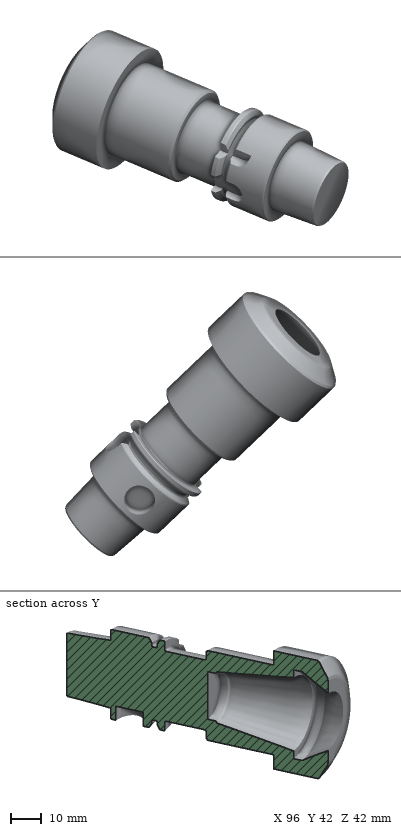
import cadquery as cq
import math

total_length = 96.0
nut_radius = 42.0 / 2
nut_length = 20.1
nose_flat_radius = 14.5
nose_edge_radius = 15.6
nose_edge_depth = 0.2
nose_cone_end = 3.2
nose_cone_radius = 20.4
nut_land_start = 3.8

body_radius = 32.0 / 2
body_end = 44.9
body_chamfer = (32.0 - 30.5) / 2

neck_radius = 25.0 / 2
neck_fillet = 0.5

flange_start = 59.9
flange_edge = 0.2
collar_end = 79.9
collar_chamfer = 0.4

taper_start_radius = 12.1
taper_ratio = 0.05
taper_end_chamfer = 0.6

groove_start = 62.8
groove_end = 64.7
groove_floor_radius = 13.1
groove_wall_radius = 14.4
groove_floor_chamfer = 0.3
flank_run = (body_radius - groove_wall_radius) * math.tan(math.radians(30))
flank_edge = 0.4

mouth_radius = 10.1
chamber_radius = 15.6
nut_cone_length = (chamber_radius - mouth_radius) / math.tan(math.radians(30))
seat_start = 12.7
seat_radius = 13.0
seat_end_radius = 18.0 / 2
seat_length = (seat_radius - seat_end_radius) / math.tan(math.radians(8))
bore_radius = 8.4
bore_depth = 44.2

key_width = 7.2
key_floor = 12.9
key_end = 72.2
wide_key_width = 9.8
notch_floor = 9.4
notch_end = 71.6
chip_hole_diameter = 10.0
chip_hole_x = 72.9
chip_hole_floor = 11.0


def revolve_about_x(outline):
    """Turn a closed (x, radius) outline into a solid of revolution."""
    return outline.close().revolve(360, (0, 0, 0), (1, 0, 0))


def turned_outside():
    neck_start_root = neck_radius + neck_fillet
    arc_low = neck_fillet * (1 - math.sqrt(0.5))
    taper_tip_x = total_length - taper_end_chamfer
    taper_tip_radius = taper_start_radius - taper_ratio * (taper_tip_x - collar_end)
    outline = (
        cq.Workplane("XY")
        .moveTo(0, 0)
        .lineTo(0, nose_flat_radius)
        .lineTo(nose_edge_depth, nose_edge_radius)
        .lineTo(nose_cone_end, nose_cone_radius)
        .lineTo(nut_land_start, nut_radius)
        .lineTo(nut_length, nut_radius)
        .lineTo(nut_length, body_radius)
        .lineTo(body_end - body_chamfer, body_radius)
        .lineTo(body_end, body_radius - body_chamfer)
        .lineTo(body_end, neck_start_root)
        .threePointArc(
            (body_end + arc_low, neck_radius + arc_low),
            (body_end + neck_fillet, neck_radius),
        )
        .lineTo(flange_start - neck_fillet, neck_radius)
        .threePointArc(
            (flange_start - arc_low, neck_radius + arc_low),
            (flange_start, neck_start_root),
        )
        .lineTo(flange_start, body_radius - flange_edge)
        .lineTo(flange_start + flange_edge, body_radius)
        .lineTo(collar_end - collar_chamfer, body_radius)
        .lineTo(collar_end, body_radius - collar_chamfer)
        .lineTo(collar_end, taper_start_radius)
        .lineTo(taper_tip_x, taper_tip_radius)
        .lineTo(total_length, taper_tip_radius - taper_end_chamfer / 2)
        .lineTo(total_length, 0)
    )
    return revolve_about_x(outline)


def gripper_groove():
    flank_left = groove_start - flank_run
    flank_right = groove_end + flank_run
    shoulder_radius = body_radius - flank_edge / 2
    chamfer_radius = groove_floor_radius + groove_floor_chamfer
    outline = (
        cq.Workplane("XY")
        .moveTo(flank_left - flank_edge, body_radius)
        .lineTo(flank_left, shoulder_radius)
        .lineTo(groove_start, groove_wall_radius)
        .lineTo(groove_start, chamfer_radius)
        .lineTo(groove_start + groove_floor_chamfer, groove_floor_radius)
        .lineTo(groove_end - groove_floor_chamfer, groove_floor_radius)
        .lineTo(groove_end, chamfer_radius)
        .lineTo(groove_end, groove_wall_radius)
        .lineTo(flank_right, shoulder_radius)
        .lineTo(flank_right + flank_edge, body_radius)
    )
    return revolve_about_x(outline)


def collet_cavity():
    seat_end = seat_start + seat_length
    outline = (
        cq.Workplane("XY")
        .moveTo(0, 0)
        .lineTo(0, mouth_radius)
        .lineTo(nut_cone_length, chamber_radius)
        .lineTo(seat_start, chamber_radius)
        .lineTo(seat_start, seat_radius)
        .lineTo(seat_end, seat_end_radius)
        .lineTo(seat_end + seat_end_radius - bore_radius, bore_radius)
        .lineTo(bore_depth, bore_radius)
        .lineTo(bore_depth, 0)
    )
    return revolve_about_x(outline)


def round_end_slot(width, end_x, floor, center_z=0.0):
    """Cutter for a slot on the -Y side, open at the flange face and round at end_x."""
    half = width / 2
    return (
        cq.Workplane("XZ", origin=(0, -floor, 0))
        .moveTo(flange_start, center_z - half)
        .lineTo(end_x - half, center_z - half)
        .threePointArc((end_x, center_z), (end_x - half, center_z + half))
        .lineTo(flange_start, center_z + half)
        .close()
        .extrude(body_radius)
    )


def chip_hole():
    """Blind hole cut up from the -Z side of the collar."""
    return (
        cq.Workplane("XY", origin=(chip_hole_x, 0, -body_radius))
        .circle(chip_hole_diameter / 2)
        .extrude(body_radius - chip_hole_floor)
    )


narrow_key = round_end_slot(key_width, key_end, key_floor)
wide_key = round_end_slot(wide_key_width, key_end, key_floor).mirror("XZ")
corner_notch = round_end_slot(key_width, notch_end, notch_floor, notch_floor + key_width / 2)

result = turned_outside()
for cutter in (gripper_groove(), collet_cavity(), narrow_key, wide_key, corner_notch, chip_hole()):
    result = result.cut(cutter)